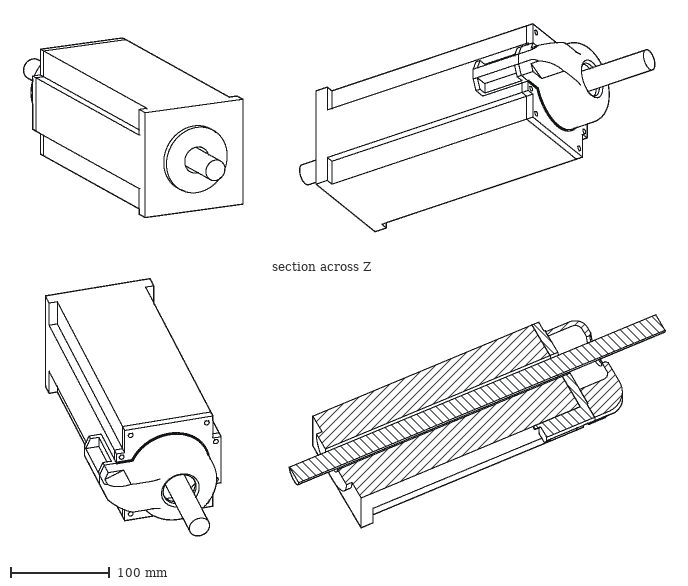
import cadquery as cq

shaft_length = 414.5
cap_front = 69.0
pad_front = 109.0
plate_front = 110.3
plate_back = 117.8
flange_front = 352.5
housing_back = 366.0
pilot_back = 372.5
connector_back = 165.0

square = 110.5
square_half = square / 2
notch_depth = 8.5
rail_half_height = 28.0

shaft_radius = 10.8
bore_radius = 13.5
pilot_radius = 34.5
cap_radius = 42.0
cap_wall = 6.2
cap_fillet = 13.5
arm_root_fillet = 1.2
cap_bore_radius = 17.5
cap_bore_chamfer = 2.5
pad_margin = 1.2

screw_radius = 2.5
screw_spots = [(40.2, 48.0), (49.8, 23.2)]

arm_half_height = 17.0
overall_width = 128.5
arm_tip = overall_width - square_half
arm_corner_radius = 27.5
tip_half_height = 6.0
tip_chamfer_depth = 5.0
taper_start = 52.0
taper_tip_half_height = 8.5
pocket_border = 5.0
pocket_floor = 59.3
stub_radius = 1.85
stub_length = 6.2


def along_x(start):
    """Workplane facing +X at the given station; its local axes are Y and Z."""
    return cq.Workplane("YZ", origin=(start, 0, 0))


def disc(start, end, radius):
    return along_x(start).circle(radius).extrude(end - start)


def block(x_range, y_range, z_range):
    """Box spanning the given (low, high) ranges."""
    sizes = [high - low for low, high in (x_range, y_range, z_range)]
    return cq.Workplane("XY", origin=(x_range[0], y_range[0], z_range[0])).box(*sizes, centered=False)


def notched_section(start, end):
    """Square bar with its four corners notched on the Y sides."""
    core = along_x(start).rect(square - 2 * notch_depth, square).extrude(end - start)
    rails = along_x(start).rect(square, 2 * rail_half_height).extrude(end - start)
    return core.union(rails)


def make_shaft():
    return disc(0, shaft_length, shaft_radius)


def make_housing():
    flange = along_x(flange_front).rect(square, square).extrude(housing_back - flange_front)
    body = notched_section(plate_back, flange_front).union(flange)
    body = body.union(disc(housing_back, pilot_back, pilot_radius))
    return body.cut(disc(plate_back, pilot_back, bore_radius))


def cut_tip_chamfers(solid):
    """Chamfer both long edges of the arm tip, along the arm and the connector alike."""
    for side in (1, -1):
        chamfer = along_x(cap_front).polyline([
            (arm_tip - tip_chamfer_depth, side * arm_half_height),
            (arm_tip, side * tip_half_height),
            (arm_tip, side * arm_half_height),
        ]).close().extrude(connector_back - cap_front)
        solid = solid.cut(chamfer)
    return solid


def make_connector():
    """Box on the +Y side, with a pocket in each face and a cable stub behind."""
    box = cut_tip_chamfers(block(
        (plate_front, connector_back),
        (square_half, arm_tip),
        (-arm_half_height, arm_half_height),
    ))
    for side in (1, -1):
        box = box.cut(block(
            (plate_front + pocket_border, connector_back - pocket_border),
            (pocket_floor, arm_tip),
            sorted((side * tip_half_height, side * arm_half_height)),
        ))
    stub = cq.Workplane("YZ", origin=(connector_back, square_half + stub_radius, 0))
    return box.union(stub.circle(stub_radius).extrude(stub_length))


def make_end_plate():
    """Plate with the connector box on its +Y edge."""
    plate = notched_section(plate_front, plate_back)

    pad_half_height = arm_half_height + pad_margin
    pad = disc(pad_front, plate_front, cap_radius + pad_margin).union(
        block((pad_front, plate_front), (0, square_half), (-pad_half_height, pad_half_height))
    )
    plate = plate.union(pad).cut(disc(pad_front, plate_back, bore_radius))

    spots = [(sy * y, sz * z) for y, z in screw_spots for sy in (-1, 1) for sz in (-1, 1)]
    screws = along_x(plate_front).pushPoints(spots).circle(screw_radius).extrude(plate_back - plate_front)
    return plate.cut(screws).union(make_connector())


def make_arm():
    """Flat arm from the cap to the connector, with a tapered round corner."""
    arm = (
        cq.Workplane("XY", origin=(0, 0, -arm_half_height))
        .moveTo(cap_front, 0)
        .lineTo(cap_front, arm_tip - arm_corner_radius)
        .radiusArc((cap_front + arm_corner_radius, arm_tip), arm_corner_radius)
        .lineTo(plate_front, arm_tip)
        .lineTo(plate_front, square_half)
        .lineTo(pad_front, square_half)
        .lineTo(pad_front, 0)
        .close()
        .extrude(2 * arm_half_height)
    )
    arm = cut_tip_chamfers(arm)
    for side in (1, -1):
        corner_taper = along_x(cap_front).polyline([
            (taper_start, side * arm_half_height),
            (arm_tip, side * taper_tip_half_height),
            (arm_tip, side * arm_half_height),
        ]).close().extrude(arm_corner_radius)
        arm = arm.cut(corner_taper)
    return arm


def make_cap():
    cap = disc(cap_front, pad_front, cap_radius).faces("<X").edges().fillet(cap_fillet)
    cap = cap.union(make_arm())

    cap = cap.edges("%BSPLINE").fillet(arm_root_fillet)

    bore = disc(cap_front, pad_front, cap_bore_radius)
    mouth_radius = cap_bore_radius + cap_bore_chamfer
    mouth = along_x(cap_front).circle(mouth_radius).workplane(offset=cap_bore_chamfer)
    mouth = mouth.circle(cap_bore_radius).loft(ruled=True)

    hollow = disc(cap_front + cap_wall, pad_front, cap_radius - cap_wall)
    hollow = hollow.faces("<X").edges().fillet(cap_fillet - cap_wall)
    return cap.cut(bore).cut(mouth).cut(hollow)


housing = make_housing()
end_plate = make_end_plate()
cap = make_cap()
shaft = make_shaft()

bodies = [housing, end_plate, cap, shaft]
result = cq.Compound.makeCompound([body.solids().val() for body in bodies])